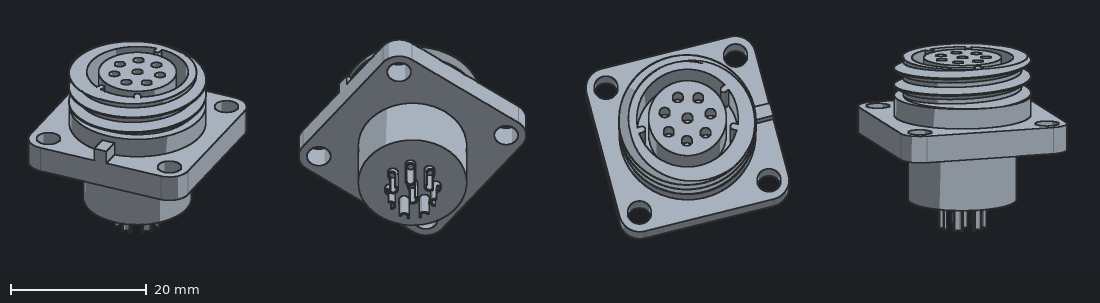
import cadquery as cq
import math

FLANGE_SIDE = 25.7
FLANGE_THICKNESS = 3.98
FLANGE_CORNER_RADIUS = 3.03
MOUNT_HOLE_DIAMETER = 3.5
MOUNT_HOLE_SPACING = 19.75

COLLAR_HEIGHT = 2.95
COLLAR_TOP = FLANGE_THICKNESS + COLLAR_HEIGHT
THREAD_LENGTH = 5.68
RIM_Z = COLLAR_TOP + THREAD_LENGTH
BODY_LENGTH = 8.82
CUP_LENGTH = 4.09

BODY_DIAMETER = 15.99
COLLAR_DIAMETER = 20.2
THREAD_MAJOR_RADIUS = 10.13
THREAD_ROOT_RADIUS = 8.7

THREAD_PITCH = 2.5
THREAD_BASE_WIDTH = 1.82
THREAD_CREST_WIDTH = 0.2
THREAD_OVERLAP = 0.13
THREAD_CREST_Z = 8.58
TURNS_BELOW = 2
TURNS_TOTAL = 5

TAB_WIDTH = 1.98
TAB_HEIGHT = 2.03

GROOVE_OUTER_DIAMETER = 14.95
INSERT_DIAMETER = 11.5
GROOVE_FLOOR = FLANGE_THICKNESS
KEY_WIDTH = 0.95
KEY_TIP_RADIUS = 6.45
LOWER_KEY_SPREAD = 25.0
KEY_ANGLES = (90, 270 - LOWER_KEY_SPREAD, 270 + LOWER_KEY_SPREAD)

RING_CONTACTS = 7
CONTACT_RING_RADIUS = 3.47
FIRST_CONTACT_ANGLE = 61.2
CENTRE_CUP_ANGLE = -90
CONTACT_DIAMETER = 1.55
SOCKET_DEPTH = 3.85

CUP_BORE_DIAMETER = 1.05
CUP_SHOULDER = 0.62
CUP_OPENING_OFFSET = 0.03
CUP_RUNOUT_RADIUS = 0.8


def cylinder(diameter, bottom, top):
    return cq.Workplane("XY").workplane(offset=bottom).circle(diameter / 2).extrude(top - bottom)


def flange():
    plate = cq.Workplane("XY").rect(FLANGE_SIDE, FLANGE_SIDE).extrude(FLANGE_THICKNESS)
    plate = plate.edges("|Z").fillet(FLANGE_CORNER_RADIUS)
    holes = (
        cq.Workplane("XY")
        .rect(MOUNT_HOLE_SPACING, MOUNT_HOLE_SPACING, forConstruction=True)
        .vertices()
        .circle(MOUNT_HOLE_DIAMETER / 2)
        .extrude(FLANGE_THICKNESS)
    )
    return plate.cut(holes)


def orientation_tab():
    length = FLANGE_SIDE / 2 - THREAD_ROOT_RADIUS
    return (
        cq.Workplane("XY")
        .workplane(offset=FLANGE_THICKNESS)
        .center(0, -FLANGE_SIDE / 2 + length / 2)
        .rect(TAB_WIDTH, length)
        .extrude(TAB_HEIGHT)
    )


def threaded_barrel():
    """Core with a helical ridge, trimmed flat at the collar and at the rim."""
    start_z = THREAD_CREST_Z - TURNS_BELOW * THREAD_PITCH
    end_z = start_z + TURNS_TOTAL * THREAD_PITCH
    flank_slope = (THREAD_BASE_WIDTH - THREAD_CREST_WIDTH) / 2 / (THREAD_MAJOR_RADIUS - THREAD_ROOT_RADIUS)
    inner_radius = THREAD_ROOT_RADIUS - THREAD_OVERLAP
    inner_half = THREAD_BASE_WIDTH / 2 + flank_slope * THREAD_OVERLAP
    crest_half = THREAD_CREST_WIDTH / 2
    helix = cq.Wire.makeHelix(THREAD_PITCH, end_z - start_z, THREAD_ROOT_RADIUS)
    ridge = (
        cq.Workplane("XZ")
        .polyline([
            (inner_radius, -inner_half),
            (THREAD_MAJOR_RADIUS, -crest_half),
            (THREAD_MAJOR_RADIUS, crest_half),
            (inner_radius, inner_half),
        ])
        .close()
        .sweep(cq.Workplane(helix), isFrenet=True)
        .translate((0, 0, start_z))
    )
    core = cylinder(2 * THREAD_ROOT_RADIUS, start_z - THREAD_PITCH, end_z + THREAD_PITCH)
    trim = cylinder(3 * THREAD_MAJOR_RADIUS, COLLAR_TOP, RIM_Z)
    return core.union(ridge).intersect(trim)


def groove_key(angle):
    """Round-nosed key standing on the outer wall of the plug groove."""
    nose_centre = KEY_TIP_RADIUS + KEY_WIDTH / 2
    length = THREAD_ROOT_RADIUS - nose_centre
    height = RIM_Z - GROOVE_FLOOR
    base = cq.Workplane("XY").workplane(offset=GROOVE_FLOOR)
    nose = base.center(nose_centre, 0).circle(KEY_WIDTH / 2).extrude(height)
    shank = base.center(nose_centre + length / 2, 0).rect(length, KEY_WIDTH).extrude(height)
    return nose.union(shank).rotate((0, 0, 0), (0, 0, 1), angle)


def plug_groove():
    insert = cylinder(INSERT_DIAMETER, GROOVE_FLOOR, RIM_Z)
    groove = cylinder(GROOVE_OUTER_DIAMETER, GROOVE_FLOOR, RIM_Z).cut(insert)
    for angle in KEY_ANGLES:
        groove = groove.cut(groove_key(angle))
    return groove


def solder_cup():
    """Cup on the Z axis with its opening towards +X."""
    top = -BODY_LENGTH
    bottom = top - CUP_LENGTH
    shoulder = top - CUP_SHOULDER
    pin = cylinder(CONTACT_DIAMETER, bottom, top)
    bore = cylinder(CUP_BORE_DIAMETER, bottom, shoulder)
    arc_end_x = CUP_OPENING_OFFSET + CUP_RUNOUT_RADIUS
    arc_leg = CUP_RUNOUT_RADIUS * math.sin(math.radians(45))
    opening = (
        cq.Workplane("XZ")
        .moveTo(CUP_OPENING_OFFSET, bottom)
        .lineTo(CUP_OPENING_OFFSET, shoulder - CUP_RUNOUT_RADIUS)
        .threePointArc(
            (arc_end_x - arc_leg, shoulder - CUP_RUNOUT_RADIUS + arc_leg),
            (arc_end_x, shoulder),
        )
        .lineTo(CONTACT_DIAMETER, shoulder)
        .lineTo(CONTACT_DIAMETER, bottom)
        .close()
        .extrude(CONTACT_DIAMETER, both=True)
    )
    return pin.cut(bore).cut(opening)


def contact_placements():
    """(distance from axis, angle) of every contact."""
    ring = [
        (CONTACT_RING_RADIUS, FIRST_CONTACT_ANGLE + i * 360 / RING_CONTACTS)
        for i in range(RING_CONTACTS)
    ]
    return ring + [(0, CENTRE_CUP_ANGLE)]


def place_contact(feature, distance, angle):
    return feature.translate((distance, 0, 0)).rotate((0, 0, 0), (0, 0, 1), angle)


connector = (
    flange()
    .union(cylinder(BODY_DIAMETER, -BODY_LENGTH, 0))
    .union(cylinder(COLLAR_DIAMETER, FLANGE_THICKNESS, COLLAR_TOP))
    .union(orientation_tab())
    .union(threaded_barrel())
    .cut(plug_groove())
)

socket = cylinder(CONTACT_DIAMETER, RIM_Z - SOCKET_DEPTH, RIM_Z)
cup = solder_cup()
for distance, angle in contact_placements():
    connector = connector.cut(place_contact(socket, distance, angle))
    connector = connector.union(place_contact(cup, distance, angle))

result = connector